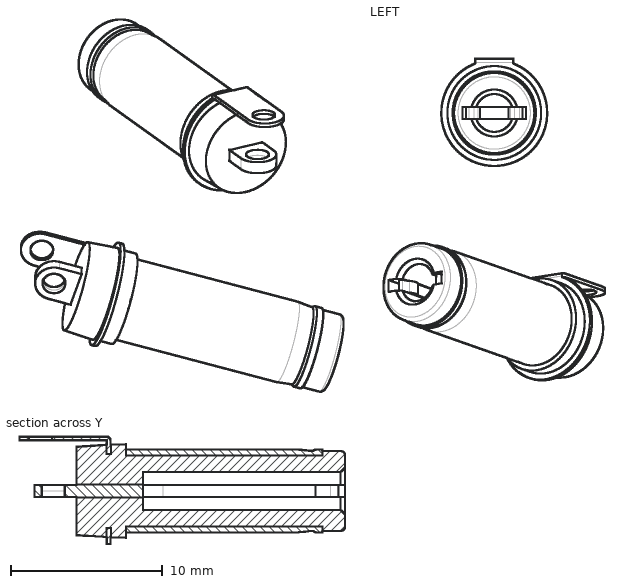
import cadquery as cq
import math


total_length = 21.5
sleeve_start = 1.5
collar_start = 14.45
lug_start = 15.48
lug_thickness = 0.25
lug_end = lug_start + lug_thickness
tail_end = 17.74

nose_radius = 2.65
nose_rounding = 0.25
core_radius = 2.36
collar_radius = 3.1
neck_radius = 2.47
tail_front_half_width = 3.18
tail_front_half_height = 3.05
tail_taper = 0.13
bore_radius = 1.25
bore_mouth_chamfer = 0.3
bore_depth = 13.33

sleeve_radius = 2.75
groove_radius = 2.65
groove_front_edge = 1.95
groove_bottom = 2.15
groove_back_edge = 3.15

lug_radius = 3.5
tab_top = 3.6
tab_half_width = 1.27
tab_hole_radius = 0.75
tab_hole_x = total_length - 1.4

contact_thickness = 0.8
contact_slot_depth = 15.05
slot_half_width = 2.1
fork_root_half_width = 1.85
fork_root_gap = 1.31
prong_tip_x = 0.43
prong_tip_radius = 0.17
prong_tip_y = 1.48
lead_in_angle = math.radians(30)
bump_start_y = 1.08
bump_radius = 0.99
solder_tail_end = 20.51
solder_tail_half_width = 1.25
solder_hole_radius = 0.75


def turned(points, plane="XY"):
    """Revolve a closed (x, radius) outline about the X axis."""
    return cq.Workplane(plane).polyline(points).close().revolve(360, (0, 0, 0), (1, 0, 0))


def slab(outline, thickness):
    """Extrude an outline in the XY plane, centred on Z = 0."""
    return outline.extrude(thickness / 2, both=True)


def tapered_tail():
    """Oval block behind the lug that narrows toward the rear."""
    return (
        cq.Workplane("YZ", origin=(lug_end, 0, 0))
        .ellipse(tail_front_half_width, tail_front_half_height, 180)
        .workplane(offset=tail_end - lug_end)
        .ellipse(tail_front_half_width - tail_taper, tail_front_half_height - tail_taper, 180)
        .loft(combine=True)
    )


def contact_cavity():
    """Slot that holds the fork, with a narrower passage for the solder tail."""
    slot = cq.Workplane("XY").box(
        contact_slot_depth, 2 * slot_half_width, contact_thickness, centered=(False, True, True)
    )
    passage = cq.Workplane("XY").box(
        tail_end, 2 * solder_tail_half_width, contact_thickness, centered=(False, True, True)
    )
    return slot.union(passage)


def make_housing():
    body = turned(
        [
            (0, 0),
            (0, -nose_radius),
            (sleeve_start, -nose_radius),
            (sleeve_start, -core_radius),
            (collar_start, -core_radius),
            (collar_start, -collar_radius),
            (lug_start, -collar_radius),
            (lug_start, -neck_radius),
            (lug_end, -neck_radius),
            (lug_end, 0),
        ]
    )
    body = body.faces("<X").edges().fillet(nose_rounding)
    body = body.union(tapered_tail())
    bore = turned(
        [
            (0, 0),
            (0, -bore_radius - bore_mouth_chamfer),
            (bore_mouth_chamfer, -bore_radius),
            (bore_depth, -bore_radius),
            (bore_depth, 0),
        ]
    )
    return body.cut(bore).cut(contact_cavity())


def make_sleeve():
    """Tube with a shallow groove pressed in behind its front rim."""
    return turned(
        [
            (sleeve_start, core_radius),
            (sleeve_start, sleeve_radius),
            (groove_front_edge, sleeve_radius),
            (groove_bottom, groove_radius),
            (groove_back_edge, sleeve_radius),
            (collar_start, sleeve_radius),
            (collar_start, core_radius),
        ],
        "XZ",
    )


def make_ground_lug():
    """Flat ring with a tab that rises from its top and bends back along +X."""
    tab_underside = tab_top - lug_thickness
    ring_flat_half_width = math.sqrt(lug_radius**2 - tab_underside**2)
    ring = (
        cq.Workplane("YZ", origin=(lug_start, 0, 0))
        .moveTo(ring_flat_half_width, tab_underside)
        .threePointArc((0, -lug_radius), (-ring_flat_half_width, tab_underside))
        .close()
        .extrude(lug_thickness)
    )
    bent_strip = (
        cq.Workplane("XZ")
        .moveTo(lug_start, 0)
        .lineTo(lug_start, tab_underside)
        .radiusArc((lug_end, tab_top), lug_thickness)
        .lineTo(total_length, tab_top)
        .lineTo(total_length, tab_underside)
        .lineTo(lug_end, tab_underside)
        .lineTo(lug_end, 0)
        .close()
        .extrude(tab_half_width, both=True)
    )
    tab_straight_end = total_length - tab_half_width
    tab_plan = (
        cq.Workplane("XY")
        .moveTo(lug_start, -tab_half_width)
        .lineTo(tab_straight_end, -tab_half_width)
        .threePointArc((total_length, 0), (tab_straight_end, tab_half_width))
        .lineTo(lug_start, tab_half_width)
        .close()
        .extrude(tab_top)
    )
    tab_hole = cq.Workplane("XY").center(tab_hole_x, 0).circle(tab_hole_radius).extrude(tab_top)
    ring_opening = (
        cq.Workplane("YZ", origin=(lug_start, 0, 0)).circle(neck_radius).extrude(lug_thickness)
    )
    tab = bent_strip.intersect(tab_plan).cut(tab_hole)
    return ring.union(tab).cut(ring_opening)


def make_contact():
    """Two-pronged fork whose base carries a rounded solder tail with a hole."""
    tip_centre_x = prong_tip_x + prong_tip_radius
    prong_outer_y = prong_tip_y + prong_tip_radius
    tip_end_x = tip_centre_x - prong_tip_radius * math.sin(lead_in_angle)
    tip_end_y = prong_tip_y - prong_tip_radius * math.cos(lead_in_angle)
    bump_start_x = tip_end_x + (tip_end_y - bump_start_y) / math.tan(lead_in_angle)
    bump_peak_x = bump_start_x + bump_radius * math.sin(lead_in_angle)
    bump_peak_y = bump_start_y - bump_radius * (1 - math.cos(lead_in_angle))
    bump_end_x = 2 * bump_peak_x - bump_start_x

    root_centre_x = bore_depth - fork_root_gap
    root_mid_offset = fork_root_gap * math.sqrt(0.5)
    tail_centre_x = solder_tail_end - solder_tail_half_width
    outline = (
        cq.Workplane("XY")
        .moveTo(bore_depth, 0)
        .threePointArc((root_centre_x + root_mid_offset, root_mid_offset), (root_centre_x, fork_root_gap))
        .lineTo(bump_end_x, bump_start_y)
        .threePointArc((bump_peak_x, bump_peak_y), (bump_start_x, bump_start_y))
        .lineTo(tip_end_x, tip_end_y)
        .threePointArc((prong_tip_x, prong_tip_y), (tip_centre_x, prong_outer_y))
        .lineTo(bore_depth, fork_root_half_width)
        .lineTo(bore_depth, slot_half_width)
        .lineTo(contact_slot_depth, slot_half_width)
        .lineTo(contact_slot_depth, solder_tail_half_width)
        .lineTo(tail_centre_x, solder_tail_half_width)
        .radiusArc((solder_tail_end, 0), solder_tail_half_width)
        .close()
    )
    half = slab(outline, contact_thickness)
    hole_outline = cq.Workplane("XY").center(tail_centre_x, 0).circle(solder_hole_radius)
    solder_hole = slab(hole_outline, contact_thickness)
    return half.union(half.mirror("XZ")).cut(solder_hole)


housing = make_housing()
sleeve = make_sleeve()
ground_lug = make_ground_lug()
contact = make_contact()

result = cq.Compound.makeCompound([housing.val(), sleeve.val(), ground_lug.val(), contact.val()])